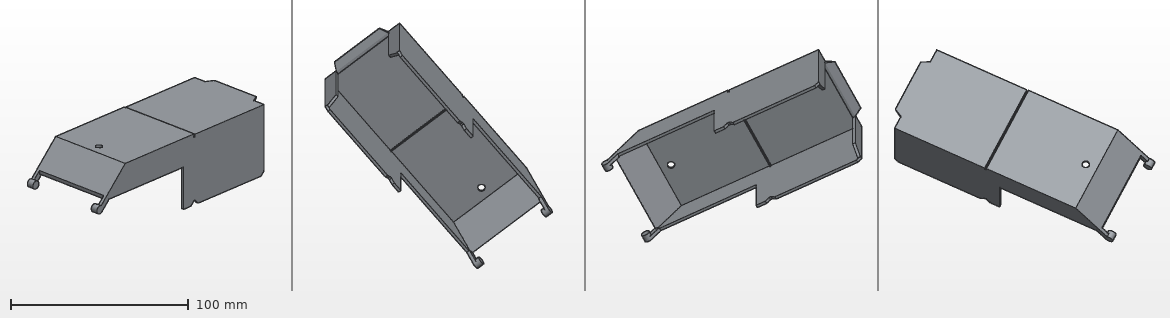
import cadquery as cq
import math

width = 54.0
length = 141.5
height = 43.9
half_width = width / 2

wall = 1.7
roof = 1.5

back_y = 136.7
leg_front_y = 70.9
skirt_z = 26.0
slope_top_y = 23.2
rear_step = 0.4
rear_top_z = height - rear_step
foot_chamfer = 2.5

slot_y = 79.8
slot_width = 1.0
slot_depth = 2.1

notch_half_base = 3.0
notch_half_top = 0.5
notch_height = 2.5

pin_radius = 2.48
pin_y = pin_radius
pin_z = 21.9
pin_length = 4.4
arm_width = 2.1
opening_y = 7.8

tangent_shift = pin_radius / math.sqrt(2)
tangent_y = pin_y + tangent_shift
tangent_z = pin_z - tangent_shift
arm_root_y = tangent_y + skirt_z - tangent_z

tab_half_base = 18.8
tab_half_tip = 16.3
tab_tip_thickness = 0.8
tab_root_thickness = 2.3

flange_reach = 8.0
flange_bottom_z = 1.5

hole_diameter = 4.1
hole_y = 30.1


def extrude_x(points, x_start, x_end):
    """Extrude a (Y, Z) outline between two X positions."""
    plane = cq.Workplane("YZ", origin=(x_start, 0, 0))
    return plane.polyline(points).close().extrude(x_end - x_start)


def slope_z(y):
    """Height of the 45 degree front slope at a given Y."""
    return height - (slope_top_y - y)


def side_outline():
    """Wall outline, including the arm whose lower edge is tangent to the pin."""
    return [
        (pin_y, pin_z),
        (tangent_y, tangent_z),
        (arm_root_y, skirt_z),
        (leg_front_y, skirt_z),
        (leg_front_y, 0),
        (slot_y - notch_half_base, 0),
        (slot_y - notch_half_top, notch_height),
        (slot_y + notch_half_top, notch_height),
        (slot_y + notch_half_base, 0),
        (back_y - foot_chamfer, 0),
        (back_y, foot_chamfer),
        (back_y, rear_top_z),
        (slot_y, rear_top_z),
        (slot_y, height),
        (slope_top_y, height),
        (pin_y, slope_z(pin_y)),
    ]


def make_shell():
    """Side walls, roof and front slope, open at the bottom, front and back."""
    shell = extrude_x(side_outline(), -half_width, half_width)

    slope_drop = roof * math.sqrt(2)
    underside_bend_y = slope_top_y + slope_drop - roof
    cavity = [
        (0, 0),
        (length, 0),
        (length, rear_top_z - roof),
        (slot_y, rear_top_z - roof),
        (slot_y, height - roof),
        (underside_bend_y, height - roof),
        (opening_y, slope_z(opening_y) - slope_drop),
        (0, slope_z(opening_y) - slope_drop),
    ]
    inner_half = half_width - wall
    shell = shell.cut(extrude_x(cavity, -inner_half, inner_half))

    opening_half = half_width - arm_width
    opening = [(0, 0), (opening_y, 0), (opening_y, height), (0, height)]
    return shell.cut(extrude_x(opening, -opening_half, opening_half))


def make_arm(side):
    """Extra thickness of an arm inside the wall, with its round hinge pin."""
    outer_x = side * half_width
    arm = [
        (pin_y, pin_z),
        (tangent_y, tangent_z),
        (arm_root_y, skirt_z),
        (opening_y, slope_z(opening_y)),
        (pin_y, slope_z(pin_y)),
    ]
    bar = extrude_x(arm, outer_x, outer_x - side * arm_width)
    pin_plane = cq.Workplane("YZ", origin=(outer_x, pin_y, pin_z))
    pin = pin_plane.circle(pin_radius).extrude(-side * pin_length)
    return bar.union(pin)


def make_flange(side):
    """Inward lip along the back edge of a wall, with a 45 degree lower end."""
    outer_x = side * half_width
    wall_x = side * (half_width - wall)
    lip_x = side * (half_width - flange_reach)
    lip_z = flange_bottom_z + flange_reach - wall
    outline = [
        (outer_x, foot_chamfer),
        (outer_x, rear_top_z),
        (lip_x, rear_top_z),
        (lip_x, lip_z),
        (wall_x, flange_bottom_z),
        (wall_x, foot_chamfer),
    ]
    plane = cq.Workplane("XZ", origin=(0, back_y, 0))
    return plane.polyline(outline).close().extrude(wall)


def make_tab():
    """Rear tab, tapered in plan and thinning toward its tip."""
    root_y = back_y - wall
    profile = [
        (root_y, rear_top_z),
        (length, rear_top_z),
        (length, rear_top_z - tab_tip_thickness),
        (back_y, rear_top_z - tab_root_thickness),
        (root_y, rear_top_z - tab_root_thickness),
    ]
    plan = [
        (-tab_half_base, root_y),
        (-tab_half_base, back_y),
        (-tab_half_tip, length),
        (tab_half_tip, length),
        (tab_half_base, back_y),
        (tab_half_base, root_y),
    ]
    blank = cq.Workplane("XY").polyline(plan).close().extrude(height)
    return blank.intersect(extrude_x(profile, -half_width, half_width))


result = make_shell().union(make_tab())
for side in (-1, 1):
    result = result.union(make_arm(side)).union(make_flange(side))

slot = cq.Workplane("XY").box(width, slot_width, 2 * slot_depth).translate((0, slot_y, height))
result = result.cut(slot)

hole = cq.Workplane("XY").center(0, hole_y).circle(hole_diameter / 2).extrude(height)
result = result.cut(hole)